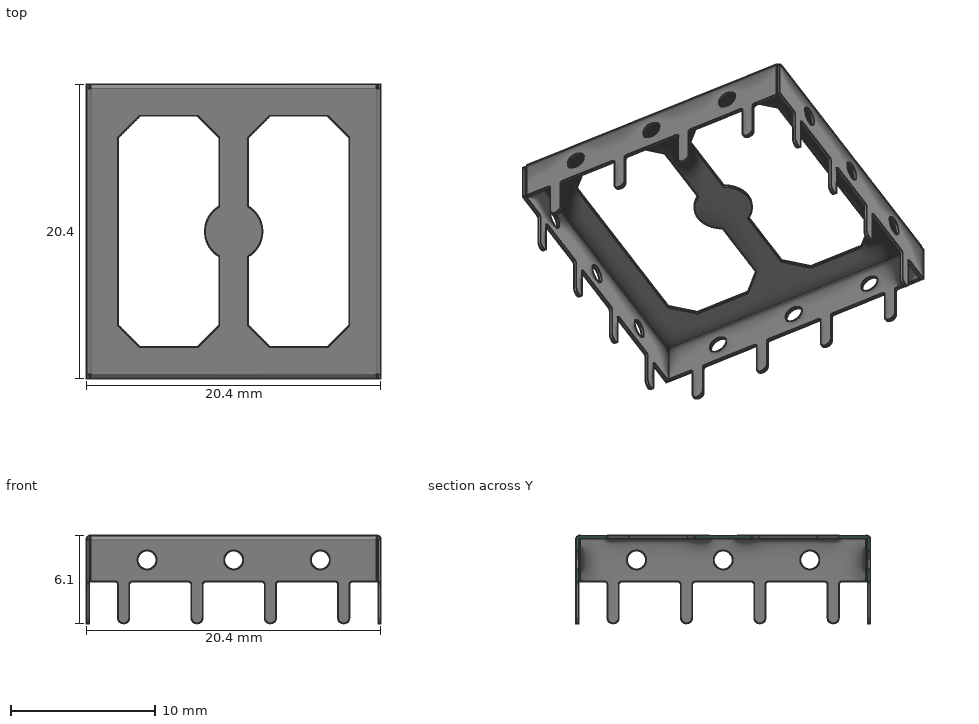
import cadquery as cq
import math


frame_size = 20.4
total_height = 6.1
wall_depth = 3.2
sheet = 0.2
bend_radius = 0.3

leg_width = 0.8
leg_pitch = 5.08
legs_per_wall = 4
leg_root_radius = 0.2

vent_diameter = 1.3
vent_pitch = 6.0
vents_per_wall = 3
vent_below_top = 1.7

window_outer = 8.0
window_corner = 1.5
bridge_width = 2.0
pickup_diameter = 4.0

half_size = frame_size / 2
plate_half = half_size - bend_radius
bend_inner_radius = bend_radius - sheet
bend_start = wall_depth - bend_radius
leg_length = total_height - wall_depth
leg_tip_radius = leg_width / 2


def row_positions(count, pitch):
    """Evenly spaced positions, centred on zero."""
    return [(i - (count - 1) / 2) * pitch for i in range(count)]


def make_plate():
    """Flat top plate with two windows, a bridge and a round pickup pad."""
    plate_bottom = wall_depth - sheet
    plate_side = 2 * plate_half
    plate = cq.Workplane("XY").workplane(offset=plate_bottom).rect(plate_side, plate_side).extrude(sheet)

    window_width = window_outer - bridge_width / 2
    window_centre = (window_outer + bridge_width / 2) / 2
    windows = (
        cq.Workplane("XY")
        .workplane(offset=plate_bottom)
        .pushPoints([(-window_centre, 0), (window_centre, 0)])
        .rect(window_width, 2 * window_outer)
        .extrude(sheet)
        .edges("|Z")
        .chamfer(window_corner)
    )
    pickup_pad = cq.Workplane("XY").workplane(offset=plate_bottom).circle(pickup_diameter / 2).extrude(sheet)
    return plate.cut(windows).union(pickup_pad)


def make_bend():
    """Quarter-round bend along the -Y edge of the plate."""
    centre_y = -plate_half
    diagonal = math.sqrt(0.5)
    return (
        cq.Workplane("YZ")
        .workplane(offset=-plate_half)
        .moveTo(centre_y, bend_start + bend_radius)
        .threePointArc(
            (centre_y - bend_radius * diagonal, bend_start + bend_radius * diagonal),
            (centre_y - bend_radius, bend_start),
        )
        .lineTo(centre_y - bend_inner_radius, bend_start)
        .threePointArc(
            (centre_y - bend_inner_radius * diagonal, bend_start + bend_inner_radius * diagonal),
            (centre_y, bend_start + bend_inner_radius),
        )
        .close()
        .extrude(2 * plate_half)
    )


def make_wall(half_length):
    """Wall on the -Y side, with legs and vent holes, reaching half_length to each end."""
    outline = cq.Workplane("XZ").workplane(offset=half_size - sheet).moveTo(-half_length, bend_start)
    outline = outline.lineTo(-half_length, 0)
    for x in row_positions(legs_per_wall, leg_pitch):
        left = x - leg_width / 2
        right = x + leg_width / 2
        tip_start = -leg_length + leg_tip_radius
        outline = (
            outline.lineTo(left - leg_root_radius, 0)
            .tangentArcPoint((left, -leg_root_radius), relative=False)
            .lineTo(left, tip_start)
            .threePointArc((x, -leg_length), (right, tip_start))
            .lineTo(right, -leg_root_radius)
            .tangentArcPoint((right + leg_root_radius, 0), relative=False)
        )
    wall = outline.lineTo(half_length, 0).lineTo(half_length, bend_start).close().extrude(sheet)

    vent_points = [(x, wall_depth - vent_below_top) for x in row_positions(vents_per_wall, vent_pitch)]
    vents = (
        cq.Workplane("XZ")
        .workplane(offset=half_size - sheet)
        .pushPoints(vent_points)
        .circle(vent_diameter / 2)
        .extrude(sheet)
    )
    return wall.cut(vents)


def make_side(half_length):
    """Bend and wall together on the -Y side."""
    return make_bend().union(make_wall(half_length))


def turned(body, angle):
    """Body turned about the vertical axis of the frame."""
    return body.rotate((0, 0, 0), (0, 0, 1), angle)


y_side = make_side(plate_half)
x_side = make_side(half_size)

result = make_plate()
for y_angle in (0, 180):
    result = result.union(turned(y_side, y_angle))
    result = result.union(turned(x_side, y_angle + 90))